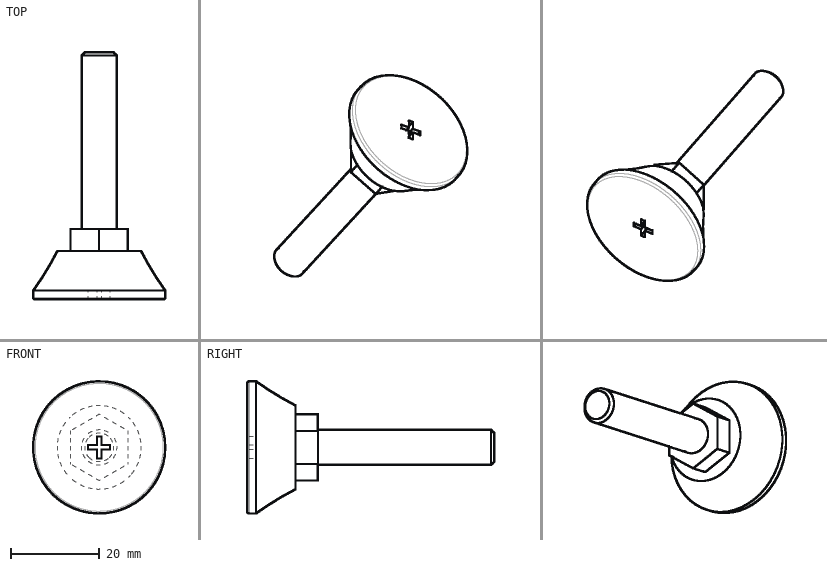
import cadquery as cq
import math


foot_radius = 15.0
foot_top_radius = 9.5
foot_rim_height = 2.0
foot_height = 11.0
sole_fillet = 0.5
flank_radius = 70.0

hex_sides = 6
hex_across_flats = 13.0
hex_height = 5.0
hex_across_corners = hex_across_flats / math.cos(math.pi / hex_sides)

rod_diameter = 8.0
rod_length = 40.0
tip_chamfer = 0.75

slot_length = 5.0
slot_width = 1.0
slot_depth = 2.0


def plane_at(y):
    """Workplane across the part axis at height y, facing +Y, local x along Z."""
    return cq.Workplane(cq.Plane(origin=(0, y, 0), xDir=(0, 0, 1), normal=(0, 1, 0)))


def flank_middle():
    """Midpoint of the hollow flank arc, offset inwards from its chord."""
    run = foot_radius - foot_top_radius
    rise = foot_height - foot_rim_height
    chord = math.hypot(run, rise)
    sag = flank_radius - math.sqrt(flank_radius**2 - (chord / 2) ** 2)
    middle_radius = (foot_radius + foot_top_radius) / 2 - sag * rise / chord
    middle_height = (foot_rim_height + foot_height) / 2 - sag * run / chord
    return middle_radius, middle_height


def make_foot():
    profile = (
        cq.Workplane("XY")
        .lineTo(foot_radius, 0)
        .lineTo(foot_radius, foot_rim_height)
        .threePointArc(flank_middle(), (foot_top_radius, foot_height))
        .lineTo(0, foot_height)
        .close()
    )
    foot = profile.revolve(360, (0, 0), (0, 1))
    return foot.faces("<Y").edges().fillet(sole_fillet)


def make_collar():
    return plane_at(foot_height).polygon(hex_sides, hex_across_corners).extrude(hex_height)


def make_rod():
    rod = plane_at(foot_height + hex_height).circle(rod_diameter / 2).extrude(rod_length)
    return rod.faces(">Y").chamfer(tip_chamfer)


def make_cross_recess():
    bar = plane_at(0).rect(slot_length, slot_width).extrude(slot_depth)
    crossing_bar = plane_at(0).rect(slot_width, slot_length).extrude(slot_depth)
    return bar.union(crossing_bar)


body = make_foot().union(make_collar()).union(make_rod())
result = body.cut(make_cross_recess())